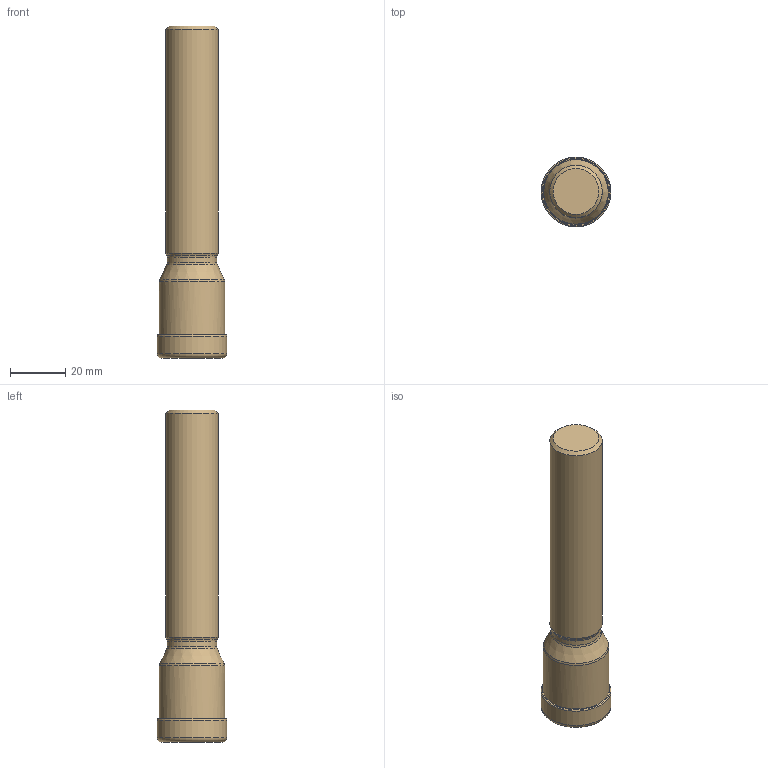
import cadquery as cq

overall_length = 120.65
head_diameter = 25.4
body_diameter = 23.8
shank_diameter = 19.05
neck_diameter = 18.0

head_length = 8.38
cone_bottom = 28.15
cone_top = 34.3
neck_top = 36.95
shank_bottom = 38.1

head_bottom_radius = 1.6
head_top_radius = 0.4
cone_blend_radius = 1.8
neck_blend_radius = 1.6
shank_chamfer = 1.2

head_radius = head_diameter / 2
body_radius = body_diameter / 2
shank_radius = shank_diameter / 2
neck_radius = neck_diameter / 2


def edge_at(height):
    """Selector for the circular edge at one height."""
    margin = 0.05
    return cq.selectors.BoxSelector(
        (-head_radius, -head_radius, height - margin),
        (head_radius, head_radius, height + margin),
        boundingbox=True,
    )


def make_head():
    """Solid disc with both rims rounded."""
    head = cq.Workplane("XY").circle(head_radius).extrude(head_length)
    head = head.faces("<Z").edges().fillet(head_bottom_radius)
    return head.faces(">Z").edges().fillet(head_top_radius)


def make_holder():
    """Body, cone, relief neck and shank turned as one piece, standing on the head."""
    profile = [
        (0, head_length),
        (body_radius, head_length),
        (body_radius, cone_bottom),
        (neck_radius, cone_top),
        (neck_radius, neck_top),
        (shank_radius, shank_bottom),
        (shank_radius, overall_length),
        (0, overall_length),
    ]
    holder = cq.Workplane("XZ").polyline(profile).close().revolve(360, (0, 0), (0, 1))
    holder = holder.edges(edge_at(cone_bottom)).fillet(cone_blend_radius)
    holder = holder.edges(edge_at(cone_top)).fillet(cone_blend_radius)
    holder = holder.edges(edge_at(neck_top)).fillet(neck_blend_radius)
    return holder.faces(">Z").edges().chamfer(shank_chamfer)


head = make_head()
holder = make_holder()

result = cq.Compound.makeCompound([head.val(), holder.val()])